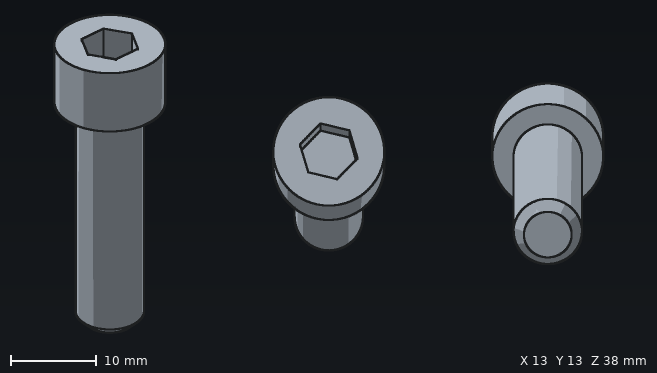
import cadquery as cq
import math

total_length = 38.0
head_diameter = 13.0
shank_diameter = 8.0
head_height = shank_diameter
hex_across_flats = 6.0
hex_depth = 4.0
tip_chamfer = 1.2

shank_length = total_length - head_height
hex_across_corners = hex_across_flats / math.cos(math.radians(30))


def make_shank():
    """Plain shank with a chamfered tip at Z = 0."""
    shank = cq.Workplane("XY").circle(shank_diameter / 2).extrude(shank_length)
    return shank.faces("<Z").chamfer(tip_chamfer)


def make_head():
    """Cylindrical head sitting on top of the shank."""
    return (
        cq.Workplane("XY", origin=(0, 0, shank_length))
        .circle(head_diameter / 2)
        .extrude(head_height)
    )


def make_hex_socket():
    """Blind hexagonal recess with two opposite corners on the X axis."""
    return (
        cq.Workplane("XY", origin=(0, 0, total_length))
        .polygon(6, hex_across_corners)
        .extrude(-hex_depth)
    )


result = make_shank().union(make_head()).cut(make_hex_socket())